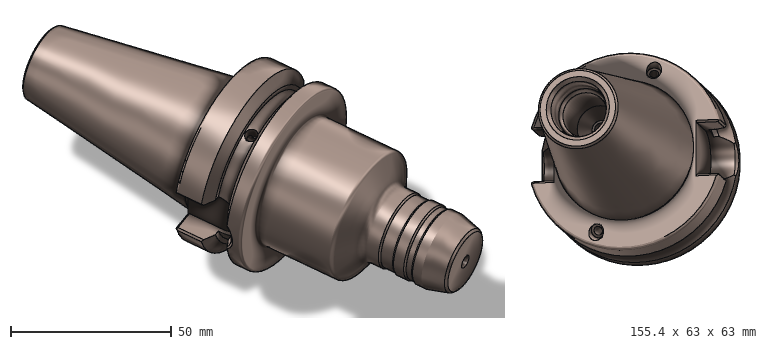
import cadquery as cq
import math

LENGTH = 155.4
FLANGE_DIAMETER = 63.0
FLANGE_RADIUS = FLANGE_DIAMETER / 2
GAUGE_RADIUS = 22.2
GAUGE_X = 65.5
TAPER_PER_LENGTH = 7 / 48
TAPER_TIP_CHAMFER = 0.6

RELIEF_START = 66.0
RELIEF_RADIUS = 21.6
RELIEF_SLOPE_LENGTH = 0.6

FLANGE_START = 67.5
FLANGE_END = 92.5
FLANGE_ROUND = 1.0
VEE_START = 77.1
NECK_START = 79.5
NECK_END = 84.5
VEE_END = NECK_END + NECK_START - VEE_START
NECK_RADIUS = 25.5
VEE_SLOPE = math.tan(math.radians(60))

BODY_RADIUS = 22.2
BODY_FILLET = 1.0
BODY_END = 119.2
SHOULDER_ANGLE = math.radians(60)
SHOULDER_ROUND = 1.5
SHOULDER_FILLET = 2.8

NOSE_DIAMETER = 26.0
NOSE_RADIUS = NOSE_DIAMETER / 2
BAND_DEPTH = 0.5
BAND_EDGE = 0.6
BANDS = [(131.5, 137.0), (140.8, 144.0)]
NOSE_TAPER_START = 147.5
NOSE_TAPER_ANGLE = math.radians(15)
END_CHAMFER = 0.8

MOUTH_RADIUS = 10.1
LEAD_IN_RADIUS = 8.9
LEAD_IN_LENGTH = 1.1
PILOT_RADIUS = 8.5
PILOT_DEPTH = 6.2
PILOT_STEP_LENGTH = 1.1
COUNTERBORE_RADIUS = 8.2
COUNTERBORE_DEPTH = 9.6
THREAD_RADIUS = 7.1
THREAD_DEPTH = 31.1
CONE_RADIUS = 3.0
THROUGH_RADIUS = 2.2
DRILL_ANGLE = math.radians(59)

SLOT_FLOOR_SPACING = 45.5
SLOT_FLOOR = SLOT_FLOOR_SPACING / 2
SLOT_HALF_WIDTH = 8.2
SLOT_CENTRE_X = 80.2
SLOT_CHAMFER = 0.6
SLOT_END_CHAMFER = 1.0

SEAT_DIAMETER = 4.7
SEAT_DEPTH = 1.9
CHANNEL_DIAMETER = 2.8
CHANNEL_RADIUS_AT_FACE = 27.0
CHANNEL_TILT = math.radians(28)
CHANNEL_ROLL = 20
CROSS_HOLE_DIAMETER = 4.2


def rounded_corner(outline, centre_x, centre_radius, size, start_angle, end_angle):
    """Add an arc about a centre, from one angle to another, measured from +X."""
    def point(angle):
        return (centre_x + size * math.cos(angle), centre_radius + size * math.sin(angle))

    outline = outline.lineTo(*point(start_angle))
    return outline.threePointArc(point((start_angle + end_angle) / 2), point(end_angle))


def turned_body():
    right = math.pi / 2
    taper_tip_radius = GAUGE_RADIUS - GAUGE_X * TAPER_PER_LENGTH
    outline = cq.Workplane("XY").moveTo(0, 0).lineTo(0, taper_tip_radius - TAPER_TIP_CHAMFER)
    outline = outline.lineTo(TAPER_TIP_CHAMFER, taper_tip_radius + TAPER_TIP_CHAMFER * TAPER_PER_LENGTH)
    outline = outline.lineTo(GAUGE_X, GAUGE_RADIUS).lineTo(RELIEF_START, GAUGE_RADIUS)
    outline = outline.lineTo(RELIEF_START + RELIEF_SLOPE_LENGTH, RELIEF_RADIUS)
    outline = outline.lineTo(FLANGE_START, RELIEF_RADIUS)

    rim_round_radius = FLANGE_RADIUS - FLANGE_ROUND
    outline = rounded_corner(
        outline, FLANGE_START + FLANGE_ROUND, rim_round_radius, FLANGE_ROUND, 2 * right, right
    )
    vee_foot_radius = FLANGE_RADIUS - (NECK_START - VEE_START) * VEE_SLOPE
    outline = outline.lineTo(VEE_START, FLANGE_RADIUS).lineTo(NECK_START, vee_foot_radius)
    outline = outline.lineTo(NECK_START, NECK_RADIUS).lineTo(NECK_END, NECK_RADIUS)
    outline = outline.lineTo(NECK_END, vee_foot_radius).lineTo(VEE_END, FLANGE_RADIUS)
    outline = rounded_corner(
        outline, FLANGE_END - FLANGE_ROUND, rim_round_radius, FLANGE_ROUND, right, 0
    )
    outline = rounded_corner(
        outline, FLANGE_END + BODY_FILLET, BODY_RADIUS + BODY_FILLET, BODY_FILLET, 2 * right, 3 * right
    )

    round_drop = SHOULDER_ROUND * (1 - math.cos(SHOULDER_ANGLE))
    fillet_drop = SHOULDER_FILLET * (1 - math.cos(SHOULDER_ANGLE))
    cone_drop = BODY_RADIUS - NOSE_RADIUS - round_drop - fillet_drop
    arcs_length = (SHOULDER_ROUND + SHOULDER_FILLET) * math.sin(SHOULDER_ANGLE)
    shoulder_end = BODY_END + arcs_length + cone_drop / math.tan(SHOULDER_ANGLE)
    outline = rounded_corner(
        outline, BODY_END, BODY_RADIUS - SHOULDER_ROUND, SHOULDER_ROUND, right, right - SHOULDER_ANGLE
    )
    outline = rounded_corner(
        outline, shoulder_end, NOSE_RADIUS + SHOULDER_FILLET, SHOULDER_FILLET,
        3 * right - SHOULDER_ANGLE, 3 * right,
    )

    band_radius = NOSE_RADIUS - BAND_DEPTH
    for start, end in BANDS:
        outline = outline.lineTo(start, NOSE_RADIUS).lineTo(start + BAND_EDGE, band_radius)
        outline = outline.lineTo(end - BAND_EDGE, band_radius).lineTo(end, NOSE_RADIUS)
    chamfer_start = LENGTH - END_CHAMFER
    tip_radius = NOSE_RADIUS - (chamfer_start - NOSE_TAPER_START) * math.tan(NOSE_TAPER_ANGLE)
    outline = outline.lineTo(NOSE_TAPER_START, NOSE_RADIUS).lineTo(chamfer_start, tip_radius)
    outline = outline.lineTo(LENGTH, tip_radius - END_CHAMFER).lineTo(LENGTH, 0).close()
    return outline.revolve(360, (0, 0, 0), (1, 0, 0))


def bore():
    mouth_end = MOUTH_RADIUS - LEAD_IN_RADIUS
    thread_start = COUNTERBORE_DEPTH + COUNTERBORE_RADIUS - THREAD_RADIUS
    cone_end = THREAD_DEPTH + (THREAD_RADIUS - CONE_RADIUS) / math.tan(DRILL_ANGLE)
    points = [
        (0, 0),
        (0, MOUTH_RADIUS),
        (mouth_end, LEAD_IN_RADIUS),
        (mouth_end + LEAD_IN_LENGTH, PILOT_RADIUS),
        (PILOT_DEPTH, PILOT_RADIUS),
        (PILOT_DEPTH + PILOT_STEP_LENGTH, COUNTERBORE_RADIUS),
        (COUNTERBORE_DEPTH, COUNTERBORE_RADIUS),
        (thread_start, THREAD_RADIUS),
        (THREAD_DEPTH, THREAD_RADIUS),
        (cone_end, CONE_RADIUS),
        (cone_end, THROUGH_RADIUS),
        (LENGTH, THROUGH_RADIUS),
        (LENGTH, 0),
    ]
    return cq.Workplane("XY").polyline(points).close().revolve(360, (0, 0, 0), (1, 0, 0))


def mirrored_prism(plane, half_profile, extent):
    """Extrude a profile that is symmetric about Z = 0, given its upper half as (position, z) points."""
    lower_half = [(position, -z) for position, z in reversed(half_profile)]
    return cq.Workplane(plane).polyline(half_profile + lower_half).close().extrude(extent)


def drive_slot():
    """Slot on the -Y side: open at the flange face, round at its end, with chamfered edges."""
    depth = FLANGE_RADIUS - SLOT_FLOOR
    wide = SLOT_HALF_WIDTH + SLOT_CHAMFER
    face_profile = [
        (FLANGE_START, wide),
        (FLANGE_START + SLOT_CHAMFER, SLOT_HALF_WIDTH),
        (SLOT_CENTRE_X, SLOT_HALF_WIDTH),
    ]
    walls = mirrored_prism("XZ", face_profile, depth).translate((0, -SLOT_FLOOR, 0))

    rim_at_wall = math.sqrt(FLANGE_RADIUS**2 - wide**2)
    rim_profile = [
        (-SLOT_FLOOR, SLOT_HALF_WIDTH),
        (SLOT_CHAMFER - rim_at_wall, SLOT_HALF_WIDTH),
        (-rim_at_wall, wide),
        (-FLANGE_RADIUS, wide),
    ]
    wall_chamfers = mirrored_prism("YZ", rim_profile, NECK_START - FLANGE_START)
    wall_chamfers = wall_chamfers.translate((FLANGE_START, 0, 0))

    centre = cq.Vector(SLOT_CENTRE_X, -SLOT_FLOOR, 0)
    outward = cq.Vector(0, -1, 0)
    round_end = cq.Solid.makeCylinder(SLOT_HALF_WIDTH, depth, centre, outward)
    end_chamfer = cq.Solid.makeCone(
        SLOT_HALF_WIDTH, SLOT_HALF_WIDTH + SLOT_END_CHAMFER, SLOT_END_CHAMFER,
        centre + outward * (depth - SLOT_END_CHAMFER), outward,
    )
    return walls.union(wall_chamfers).union(cq.Workplane(round_end)).union(cq.Workplane(end_chamfer))


def coolant_channel():
    """Channel with a wider seat, drilled inward from the flange face to meet a radial groove hole."""
    cross_x = (NECK_START + NECK_END) / 2
    run = cross_x - FLANGE_START
    meeting_radius = CHANNEL_RADIUS_AT_FACE - run * math.tan(CHANNEL_TILT)
    inward = cq.Vector(math.cos(CHANNEL_TILT), 0, -math.sin(CHANNEL_TILT))
    face_point = cq.Vector(FLANGE_START, 0, CHANNEL_RADIUS_AT_FACE)
    seat = cq.Solid.makeCylinder(
        SEAT_DIAMETER / 2, SEAT_DEPTH + SEAT_DIAMETER, face_point - inward * SEAT_DIAMETER, inward
    )
    channel = cq.Solid.makeCylinder(
        CHANNEL_DIAMETER / 2, run / math.cos(CHANNEL_TILT), face_point, inward
    )
    cross_hole = cq.Solid.makeCylinder(
        CROSS_HOLE_DIAMETER / 2, FLANGE_RADIUS - meeting_radius,
        cq.Vector(cross_x, 0, meeting_radius), cq.Vector(0, 0, 1),
    )
    passage = cq.Workplane(seat).union(cq.Workplane(channel)).union(cq.Workplane(cross_hole))
    return passage.rotate((0, 0, 0), (1, 0, 0), CHANNEL_ROLL)


result = turned_body().cut(bore())
for half_turn in (0, 180):
    for feature in (drive_slot(), coolant_channel()):
        result = result.cut(feature.rotate((0, 0, 0), (1, 0, 0), half_turn))